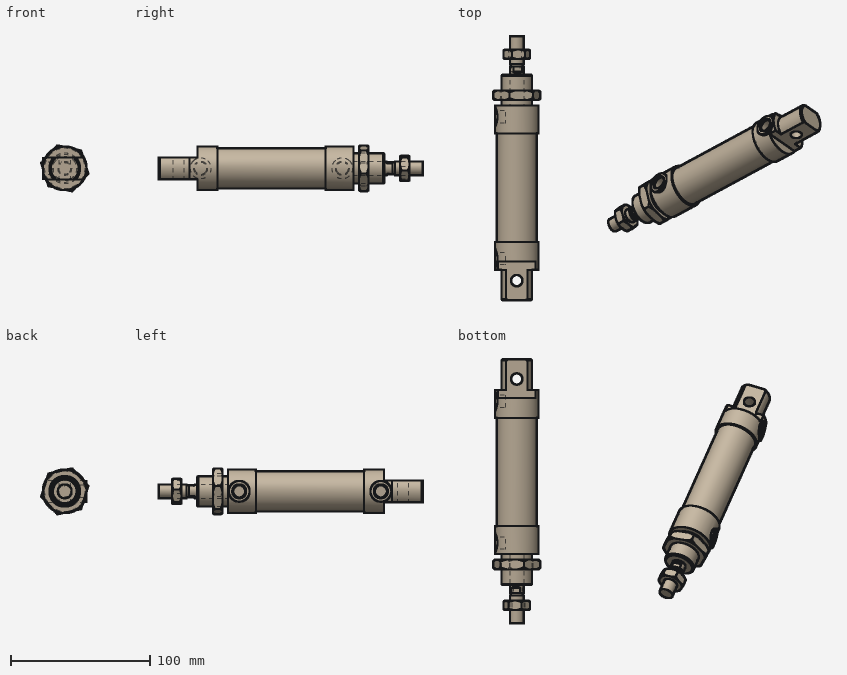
import cadquery as cq
import math

LENGTH = 190.0

ROD_DIA = 10.0
ROD_TURN = 8.5
RELIEF_DIA = 8.7
RELIEF_FRONT = LENGTH - 20.1
RELIEF_WIDTH = 1.7
WRENCH_FLATS = 8.0
WRENCH_LENGTH = 3.6
WRENCH_FRONT = RELIEF_FRONT - RELIEF_WIDTH

ROD_NUT_ACROSS_FLATS = 17.0
ROD_NUT_WIDTH = 6.6
ROD_NUT_FRONT = LENGTH - 9.7
ROD_NUT_CHAMFER_RADIAL = 1.1
ROD_NUT_CHAMFER_AXIAL = 1.0
NECK_NUT_ACROSS_FLATS = 30.0
NECK_NUT_WIDTH = 7.0
NECK_NUT_FRONT = LENGTH - 39.0
NECK_NUT_TURN = 12.5
NECK_NUT_CHAMFER_RADIAL = 1.7
NECK_NUT_CHAMFER_AXIAL = 1.3

NECK_DIA = 22.0
NECK_FRONT = LENGTH - 27.5
EDGE_CHAMFER = 1.0
HEAD_DIA = 31.5
HEAD_FRONT = LENGTH - 49.8
HEAD_LENGTH = 20.1
BARREL_DIA = 29.0
BARREL_FRONT = HEAD_FRONT - HEAD_LENGTH
BARREL_LENGTH = 77.9
BARREL_REAR = BARREL_FRONT - BARREL_LENGTH
REAR_HEAD_REAR = BARREL_REAR - HEAD_LENGTH
EYE_THICKNESS = 15.8
EYE_FLAT_LENGTH = 28.0
EYE_HOLE_DIA = 8.0
EYE_HOLE_Y = 14.2

PORT_BOSS_DIA = 15.0
PORT_DIA = 8.7
PORT_MOUTH_DIA = 10.0
PORT_DEPTH = 7.6
PORT_FROM_HEAD_END = 8.2


def cylinder(diameter, rear, front):
    """Cylinder on the Y axis from rear to front."""
    return cq.Workplane("XZ", origin=(0, front, 0)).circle(diameter / 2).extrude(front - rear)


def eye_flats(housing):
    """Cut two flats, parallel to XY, on the eye and the rear part of the rear head."""
    block = cq.Workplane("XY").box(HEAD_DIA, EYE_FLAT_LENGTH, HEAD_DIA, centered=(True, False, False))
    upper = block.translate((0, 0, EYE_THICKNESS / 2))
    lower = block.translate((0, 0, -EYE_THICKNESS / 2 - HEAD_DIA))
    return housing.cut(upper).cut(lower)


def port_plane(y):
    """Workplane on the flat face of a port, with its normal pointing into the housing."""
    return cq.Workplane("YZ", origin=(-HEAD_DIA / 2, y, 0))


def add_port(housing, y):
    """Add a round boss flush with the head's outermost line, and its chamfered blind port."""
    boss = port_plane(y).circle(PORT_BOSS_DIA / 2).extrude(PORT_DEPTH)
    bore = port_plane(y).circle(PORT_DIA / 2).extrude(PORT_DEPTH)
    mouth_depth = (PORT_MOUTH_DIA - PORT_DIA) / 2
    mouth = (
        port_plane(y).circle(PORT_MOUTH_DIA / 2)
        .workplane(offset=mouth_depth).circle(PORT_DIA / 2).loft()
    )
    return housing.union(boss).cut(bore).cut(mouth)


def make_housing():
    neck = cylinder(NECK_DIA, HEAD_FRONT, NECK_FRONT).faces(">Y").chamfer(EDGE_CHAMFER)
    eye = cylinder(NECK_DIA, 0, REAR_HEAD_REAR).faces("<Y").chamfer(EDGE_CHAMFER)
    housing = (
        cylinder(BARREL_DIA, BARREL_REAR, BARREL_FRONT)
        .union(cylinder(HEAD_DIA, BARREL_FRONT, HEAD_FRONT))
        .union(cylinder(HEAD_DIA, REAR_HEAD_REAR, BARREL_REAR))
        .union(neck)
        .union(eye)
    )
    housing = eye_flats(housing)
    for y in (HEAD_FRONT - PORT_FROM_HEAD_END, REAR_HEAD_REAR + PORT_FROM_HEAD_END):
        housing = add_port(housing, y)
    eye_hole = (
        cq.Workplane("XY").center(0, EYE_HOLE_Y).circle(EYE_HOLE_DIA / 2)
        .extrude(EYE_THICKNESS / 2, both=True)
    )
    rod_bore = cylinder(ROD_DIA, HEAD_FRONT, NECK_FRONT)
    return housing.cut(eye_hole).cut(rod_bore)


def make_rod():
    """Rod seated in the neck, with a relief groove and two wrench flats ending in 45-degree ramps."""
    rod = cylinder(ROD_DIA, HEAD_FRONT, LENGTH)
    relief_rear = RELIEF_FRONT - RELIEF_WIDTH
    relief = cylinder(ROD_DIA, relief_rear, RELIEF_FRONT).cut(
        cylinder(RELIEF_DIA, relief_rear, RELIEF_FRONT)
    )
    flat_rear = WRENCH_FRONT - WRENCH_LENGTH
    ramp_rear = flat_rear - (ROD_DIA - WRENCH_FLATS) / 2
    wrench_core = (
        cq.Workplane("YZ", origin=(-ROD_DIA / 2, 0, 0))
        .moveTo(WRENCH_FRONT, -WRENCH_FLATS / 2)
        .lineTo(WRENCH_FRONT, WRENCH_FLATS / 2)
        .lineTo(flat_rear, WRENCH_FLATS / 2)
        .lineTo(ramp_rear, ROD_DIA / 2)
        .lineTo(ramp_rear, -ROD_DIA / 2)
        .lineTo(flat_rear, -WRENCH_FLATS / 2)
        .close()
        .extrude(ROD_DIA)
        .rotate((0, 0, 0), (0, 1, 0), ROD_TURN)
    )
    flats = cylinder(ROD_DIA, ramp_rear, WRENCH_FRONT).cut(wrench_core)
    return rod.cut(relief).cut(flats)


def make_nut(across_flats, width, front, bore_dia, turn, chamfer_radial, chamfer_axial):
    """Hexagon nut on the Y axis, with its corners turned down by a cone at both faces."""
    corner_radius = across_flats / math.sqrt(3)
    face_radius = corner_radius - chamfer_radial
    rear = front - width
    hexagon = (
        cq.Workplane("XZ", origin=(0, front, 0)).polygon(6, 2 * corner_radius).extrude(width)
        .rotate((0, 0, 0), (0, 1, 0), turn)
    )
    turned_blank = (
        cq.Workplane("XY")
        .moveTo(0, rear)
        .lineTo(face_radius, rear)
        .lineTo(corner_radius, rear + chamfer_axial)
        .lineTo(corner_radius, front - chamfer_axial)
        .lineTo(face_radius, front)
        .lineTo(0, front)
        .close()
        .revolve(360, (0, 0, 0), (0, 1, 0))
    )
    return hexagon.intersect(turned_blank).cut(cylinder(bore_dia, rear, front))


housing = make_housing()
rod = make_rod()
rod_nut = make_nut(
    ROD_NUT_ACROSS_FLATS, ROD_NUT_WIDTH, ROD_NUT_FRONT, ROD_DIA,
    ROD_TURN, ROD_NUT_CHAMFER_RADIAL, ROD_NUT_CHAMFER_AXIAL,
)
neck_nut = make_nut(
    NECK_NUT_ACROSS_FLATS, NECK_NUT_WIDTH, NECK_NUT_FRONT, NECK_DIA,
    NECK_NUT_TURN, NECK_NUT_CHAMFER_RADIAL, NECK_NUT_CHAMFER_AXIAL,
)

result = cq.Compound.makeCompound([housing.val(), rod.val(), rod_nut.val(), neck_nut.val()])